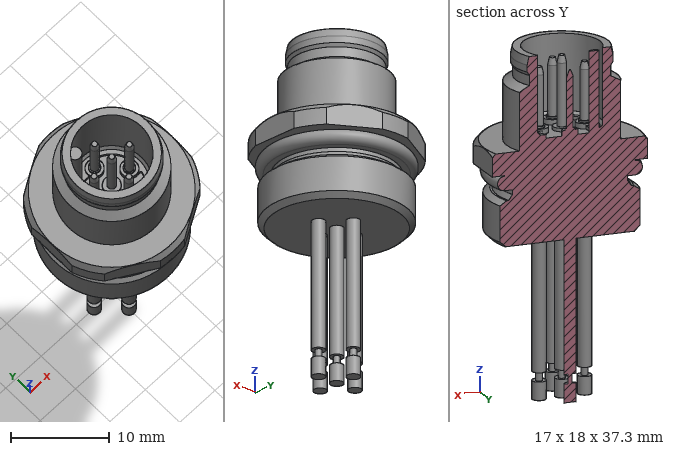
import cadquery as cq
import math

top_z = 37.3
bead_top_z = 36.4
bead_bottom_z = 35.65
neck_top_z = 35.3
neck_bottom_z = 34.2
shoulder_z = 33.6
flange_top_z = 27.38
flange_chamfer_z = 26.8
flange_bottom_z = 24.9
ring_bottom_z = 23.3
groove_cone_top_z = 22.85
groove_step_z = 22.25
base_top_z = 21.8
base_chamfer_z = 17.95
base_bottom_z = 17.35

rim_radius = 5.05
bead_radius = 5.22
neck_radius = 5.0
barrel_radius = 6.0
ring_radius = 8.28
groove_radius = 6.7
groove_cone_radius = 7.1
base_cone_radius = 7.3
base_radius = 8.02
base_bottom_radius = 7.4

hex_across_flats = 17.0
flange_radius = 9.0
flange_top_radius = 8.45

socket_radius = 4.18
socket_floor_radius = 3.88
floor_z = 28.8
key_radius = 0.7
key_offset = 3.73
key_angle = 135
key_top_z = 37.08

panel_radius = 3.4
panel_depth = 0.37
panel_z = floor_z - panel_depth
panel_corner_radius = 0.2
panel_key_corner = 2.28
boss_radius = 0.97
boss_rise = 0.2

contact_offset = 2.5
pin_radius = 0.5
pin_tip_radius = 0.3
pin_taper_length = 0.8
center_pin_top_z = 36.33
outer_pin_top_z = 35.35
collar_radius = 0.65
collar_height = 0.37
wire_radius = 0.75
conductor_radius = 0.37
insulation_end_z = 3.02
sleeve_top_z = 2.05
sleeve_bottom_z = 0.07
long_sleeve_bottom_z = 0.0

match_tolerance = 0.005

outer_angles = [0, 90, 180, 270]
long_wire_angle = 90


def polar(radius, angle):
    """XY position at a radius and an angle in degrees."""
    return (radius * math.cos(math.radians(angle)), radius * math.sin(math.radians(angle)))


def cylinder(position, radius, bottom_z, upper_z):
    """Vertical cylinder between two heights."""
    base = cq.Workplane("XY", origin=(position[0], position[1], bottom_z))
    return base.circle(radius).extrude(upper_z - bottom_z)


def make_housing():
    """Turned body: base, groove, sealing ring, barrel, neck and snap bead."""
    ring_half_height = (flange_bottom_z - ring_bottom_z) / 2
    ring_center_radius = ring_radius - ring_half_height
    return (
        cq.Workplane("XZ")
        .moveTo(0, base_bottom_z)
        .lineTo(base_bottom_radius, base_bottom_z)
        .lineTo(base_radius, base_chamfer_z)
        .lineTo(base_radius, base_top_z)
        .lineTo(base_cone_radius, groove_step_z)
        .lineTo(groove_cone_radius, groove_step_z)
        .lineTo(groove_radius, groove_cone_top_z)
        .lineTo(groove_radius, ring_bottom_z)
        .lineTo(ring_center_radius, ring_bottom_z)
        .threePointArc(
            (ring_radius, ring_bottom_z + ring_half_height),
            (ring_center_radius, flange_bottom_z),
        )
        .lineTo(barrel_radius, flange_bottom_z)
        .lineTo(barrel_radius, shoulder_z)
        .lineTo(neck_radius, neck_bottom_z)
        .lineTo(neck_radius, neck_top_z)
        .lineTo(bead_radius, bead_bottom_z)
        .lineTo(bead_radius, bead_top_z)
        .lineTo(rim_radius, top_z)
        .lineTo(0, top_z)
        .close()
        .revolve(360, (0, 0), (0, 1))
    )


def make_flange():
    """Chamfered disc trimmed by a hexagon with two flats facing +X and -X."""
    disc = (
        cq.Workplane("XZ")
        .moveTo(0, flange_bottom_z)
        .lineTo(flange_radius, flange_bottom_z)
        .lineTo(flange_radius, flange_chamfer_z)
        .lineTo(flange_top_radius, flange_top_z)
        .lineTo(0, flange_top_z)
        .close()
        .revolve(360, (0, 0), (0, 1))
    )
    corner_diameter = hex_across_flats / math.cos(math.radians(30))
    hexagon = (
        cq.Workplane("XY", origin=(0, 0, flange_bottom_z))
        .transformed(rotate=(0, 0, 30))
        .polygon(6, corner_diameter)
        .extrude(flange_top_z - flange_bottom_z)
    )
    return disc.intersect(hexagon)


def make_socket():
    """Cavity open at the top, chamfered around its floor."""
    cavity = cylinder((0, 0), socket_radius, floor_z, top_z)
    return cavity.faces("<Z").chamfer(socket_radius - socket_floor_radius)


def is_rim_corner(edge):
    """True for an edge lying on the outer circle of the panel."""
    center = edge.Center()
    return abs(math.hypot(center.x, center.y) - panel_radius) < match_tolerance


def make_panel():
    """Recess in the socket floor, leaving bosses around the contacts and a square corner by the key."""
    panel = cylinder((0, 0), panel_radius, panel_z, floor_z)
    for angle in outer_angles:
        web = (
            cq.Workplane("XY", origin=(0, 0, panel_z))
            .transformed(rotate=(0, 0, angle))
            .center(contact_offset + panel_radius / 2, 0)
            .rect(panel_radius, 2 * boss_radius)
            .extrude(panel_depth)
        )
        panel = panel.cut(web)
        panel = panel.cut(cylinder(polar(contact_offset, angle), boss_radius, panel_z, floor_z))
    quadrant = cq.Workplane("XY", origin=(0, 0, panel_z))
    key_block = quadrant.rect(-panel_radius, panel_radius, centered=False).extrude(panel_depth)
    key_notch = quadrant.rect(-panel_key_corner, panel_key_corner, centered=False).extrude(panel_depth)
    panel = panel.cut(key_block.cut(key_notch))
    panel = panel.edges("|Z").filter(is_rim_corner).fillet(panel_corner_radius)
    return panel.cut(cylinder((0, 0), boss_radius, panel_z, floor_z))


def make_pin(position, pin_top_z):
    """Contact pin with a tapered tip."""
    shank = cylinder(position, pin_radius, panel_z, pin_top_z)
    tip_chamfer = pin_radius - pin_tip_radius
    return shank.faces(">Z").chamfer(pin_taper_length, tip_chamfer)


def make_wire(position, tip_z):
    """Insulated wire with a bared stretch above its end sleeve."""
    insulation = cylinder(position, wire_radius, insulation_end_z, base_chamfer_z)
    conductor = cylinder(position, conductor_radius, tip_z, base_chamfer_z)
    sleeve = cylinder(position, wire_radius, tip_z, sleeve_top_z)
    return insulation.union(conductor).union(sleeve)


result = make_housing().union(make_flange())
result = result.cut(make_socket()).cut(make_panel())
result = result.union(cylinder(polar(key_offset, key_angle), key_radius, panel_z, key_top_z))

result = result.union(make_pin((0, 0), center_pin_top_z))
result = result.union(make_wire((0, 0), sleeve_bottom_z))
for contact_angle in outer_angles:
    contact = polar(contact_offset, contact_angle)
    wire_tip_z = long_sleeve_bottom_z if contact_angle == long_wire_angle else sleeve_bottom_z
    result = result.union(cylinder(contact, boss_radius, panel_z, floor_z + boss_rise))
    result = result.union(cylinder(contact, collar_radius, panel_z, floor_z + collar_height))
    result = result.union(make_pin(contact, outer_pin_top_z))
    result = result.union(make_wire(contact, wire_tip_z))